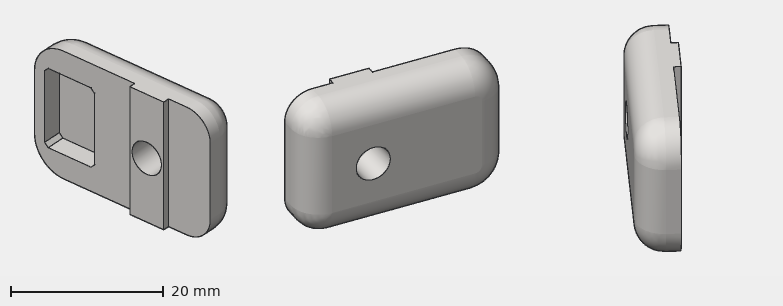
import cadquery as cq

length = 30.0
height = 20.0
plate_thickness = 6.0
left_corner_radius = 5.0
right_corner_radius = 4.0
back_rounding = right_corner_radius - 0.001

rib_width = 5.8
rib_projection = 1.0
hole_x = 20.0
hole_diameter = 5.0

pocket_left_x = 1.75
pocket_length = 8.5
pocket_height = 12.4
pocket_depth = 3.0
pocket_corner_chamfer = 0.6

mid_z = height / 2


def box_from_front(x_start, x_length, z_height, y_start, y_length):
    """Box starting at the given X and Y, centred on the plate height."""
    return (
        cq.Workplane("XY")
        .box(x_length, y_length, z_height, centered=(False, False, True))
        .translate((x_start, y_start, mid_z))
    )


def make_plate():
    plate = box_from_front(0, length, height, 0, plate_thickness)
    plate = plate.edges("|Y and <X").fillet(left_corner_radius)
    plate = plate.edges("|Y and >X").fillet(right_corner_radius)
    return plate.faces(">Y").edges().fillet(back_rounding)


def make_rib():
    return box_from_front(
        hole_x - rib_width / 2, rib_width, height, -rib_projection, rib_projection
    )


def make_pocket():
    pocket = box_from_front(pocket_left_x, pocket_length, pocket_height, 0, pocket_depth)
    return pocket.edges("|Y").chamfer(pocket_corner_chamfer)


def make_hole():
    return (
        cq.Workplane("XZ", origin=(hole_x, -rib_projection, mid_z))
        .circle(hole_diameter / 2)
        .extrude(-(plate_thickness + rib_projection))
    )


result = make_plate().union(make_rib()).cut(make_pocket()).cut(make_hole())